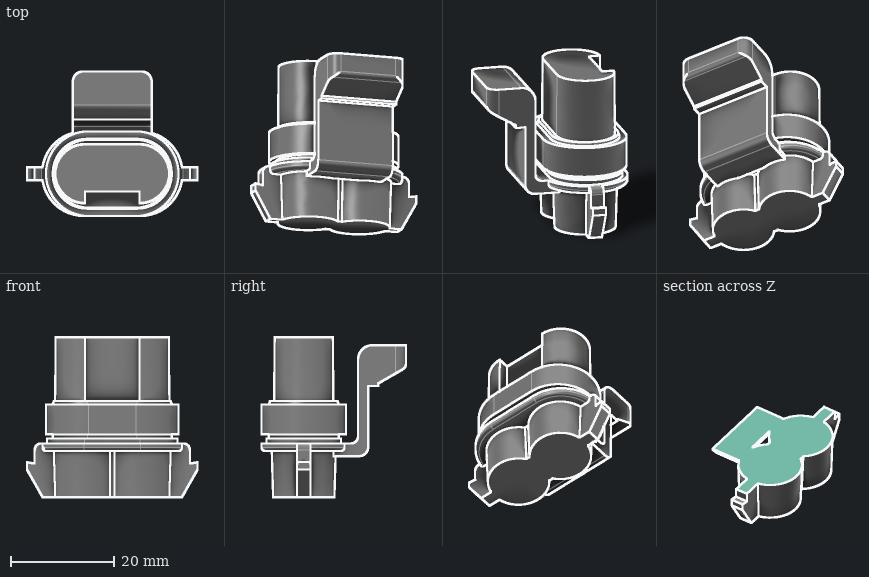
import cadquery as cq
import math

flange_bottom = 8.95
flange_top = 10.45
ring_top = 11.42
collar_bottom = 12.18
collar_top = 17.97
neck_top = 18.67
plug_top = 31.0

plug_top_half_length = 11.02
plug_top_half_width = 5.65
plug_taper_offset = 0.1
neck_half_length = 11.55
neck_half_width = 6.8
collar_half_length = 12.85
collar_half_width = 8.2
ring_half_length = 12.65
ring_half_width = 7.25
flange_half_length = 13.65
flange_half_width = 8.2
neck_bevel_width = 0.23
flange_edge_radius = 0.73

notch_half_width = 5.3
notch_floor_y = -3.4

socket_spacing = 10.45
socket_bottom_radius = 5.95
socket_top_radius = 6.22
web_width = 0.8
web_bottom_half_depth = 3.57
web_top_half_depth = 3.97

hook_thickness = 2.58
hook_reach = 16.55
hook_stem_x = 15.05
hook_foot_x = 13.5
hook_inner_x = 6.62
hook_nose_bottom = 5.4
hook_nose_top = 6.82
hook_seat_z = 6.55
hook_top_radius = 1.32

arm_width = 15.35
arm_root_y = 5.75
arm_inner_y = 10.5
arm_outer_y = 12.5
arm_tip_y = 19.83
arm_bottom = 7.95
arm_top = 29.5
arm_step_y = 14.45
arm_step_bottom = 21.5
arm_step_top = 22.05
arm_slope = 30
arm_inner_bend_radius = 1.32
arm_outer_bend_radius = 1.82
arm_top_radius = 2.8
arm_tip_edge_radius = 1.32
arm_plan_radius = 2.05


def stadium(half_length, half_width, bottom, top):
    """Upright block with straight sides and semicircular ends."""
    return (
        cq.Workplane("XY", origin=(0, 0, bottom))
        .slot2D(2 * half_length, 2 * half_width)
        .extrude(top - bottom)
    )


def make_plug():
    height = plug_top - neck_top
    taper = math.degrees(math.atan(plug_taper_offset / height))
    base_length = 2 * (plug_top_half_length + plug_taper_offset)
    base_width = 2 * (plug_top_half_width + plug_taper_offset)
    plug = (
        cq.Workplane("XY", origin=(0, 0, neck_top))
        .slot2D(base_length, base_width)
        .extrude(height, taper=taper)
    )
    notch = (
        cq.Workplane("XY", origin=(0, notch_floor_y - base_width / 2, neck_top))
        .box(2 * notch_half_width, base_width / 2, height, centered=(True, False, False))
    )
    return plug.cut(notch)


def make_body():
    neck = stadium(neck_half_length, neck_half_width, ring_top, collar_top)
    shoulder_height = neck_top - collar_top
    shoulder = (
        cq.Workplane("XY", origin=(0, 0, collar_top))
        .slot2D(2 * neck_half_length, 2 * neck_half_width)
        .extrude(shoulder_height, taper=math.degrees(math.atan(neck_bevel_width / shoulder_height)))
    )
    flange = stadium(flange_half_length, flange_half_width, flange_bottom, flange_top)
    flange = flange.faces("<Z").edges().fillet(flange_edge_radius)
    ring = stadium(ring_half_length, ring_half_width, flange_top, ring_top)
    collar = stadium(collar_half_length, collar_half_width, collar_bottom, collar_top)
    return flange.union(ring).union(neck).union(collar).union(shoulder)


def make_sockets():
    taper = math.degrees(math.atan((socket_top_radius - socket_bottom_radius) / flange_bottom))
    web = (
        cq.Workplane("YZ")
        .moveTo(-web_bottom_half_depth, 0)
        .lineTo(web_bottom_half_depth, 0)
        .lineTo(web_top_half_depth, flange_bottom)
        .lineTo(-web_top_half_depth, flange_bottom)
        .close()
        .extrude(web_width / 2, both=True)
    )
    sockets = web
    for side in (-1, 1):
        socket = (
            cq.Workplane("XY")
            .center(side * socket_spacing / 2, 0)
            .circle(socket_bottom_radius)
            .extrude(flange_bottom, taper=-taper)
        )
        sockets = sockets.union(socket)
    return sockets


def make_hook():
    return (
        cq.Workplane("XZ")
        .moveTo(hook_inner_x, 0)
        .lineTo(hook_foot_x, 0)
        .lineTo(hook_reach, hook_nose_bottom)
        .lineTo(hook_reach, hook_nose_top)
        .lineTo(hook_stem_x, hook_seat_z)
        .lineTo(hook_stem_x, flange_top - hook_top_radius)
        .radiusArc((hook_stem_x - hook_top_radius, flange_top), -hook_top_radius)
        .lineTo(hook_inner_x, flange_top)
        .close()
        .extrude(hook_thickness / 2, both=True)
    )


def make_arm():
    slope_rise = (arm_tip_y - arm_step_y) * math.tan(math.radians(arm_slope))
    slope_end_z = arm_step_top + slope_rise
    arm = (
        cq.Workplane("YZ")
        .moveTo(arm_root_y, arm_bottom)
        .lineTo(arm_outer_y, arm_bottom)
        .lineTo(arm_outer_y, arm_step_bottom)
        .lineTo(arm_step_y, arm_step_bottom)
        .lineTo(arm_step_y, arm_step_top)
        .lineTo(arm_tip_y, slope_end_z)
        .lineTo(arm_tip_y, arm_top)
        .lineTo(arm_inner_y, arm_top)
        .lineTo(arm_inner_y, flange_top)
        .lineTo(arm_root_y, flange_top)
        .close()
        .extrude(arm_width / 2, both=True)
    )
    rounded_corners = (
        (arm_outer_y, arm_bottom, arm_outer_bend_radius),
        (arm_inner_y, flange_top, arm_inner_bend_radius),
        (arm_inner_y, arm_top, arm_top_radius),
        (arm_tip_y, slope_end_z, arm_tip_edge_radius),
    )
    for y, z, radius in rounded_corners:
        arm = arm.edges(cq.selectors.NearestToPointSelector((0, y, z))).fillet(radius)
    plan_height = arm_top - arm_bottom
    plan = (
        cq.Workplane("XY", origin=(0, arm_root_y, arm_bottom))
        .box(arm_width, arm_tip_y - arm_root_y, plan_height, centered=(True, False, False))
        .edges("|Z and >Y")
        .fillet(arm_plan_radius)
    )
    return arm.intersect(plan)


hook = make_hook()
result = (
    make_body()
    .union(make_plug())
    .union(make_sockets())
    .union(hook)
    .union(hook.mirror("YZ"))
    .union(make_arm())
)